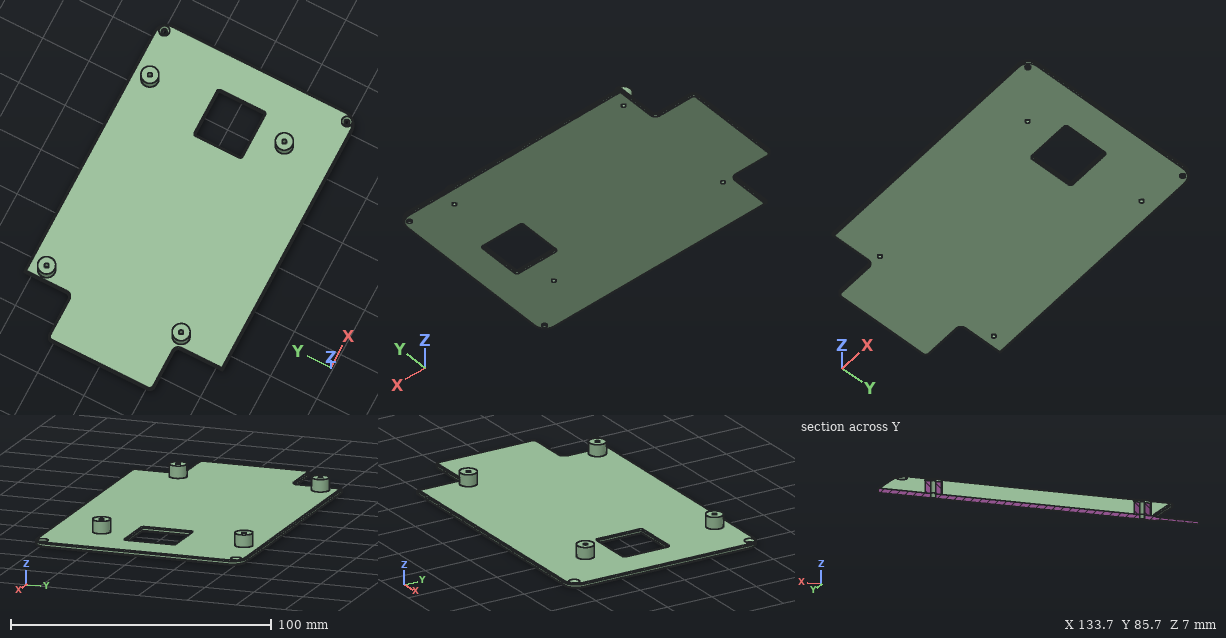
import cadquery as cq

length = 133.7
width = 85.7
plate_thickness = 2.0
edge_chamfer = 0.5
corner_radius = 5.6

tab_length = 20.0
tab_width = 45.5
tab_radius = 2.0

window_size = 19.9
window_radius = 0.5
window_x = 42.0

screw_diameter = 2.1
countersink_diameter = 4.1
countersink_angle = 90
screw_inset = 3.3

overall_height = 7.0
standoff_height = overall_height - plate_thickness
standoff_diameter = 7.0
standoff_bore = 1.7
standoff_spacing_x = 86.1
standoff_spacing_y = 58.2
standoff_center_x = 1.0
standoff_center_y = 6.5

left = -length / 2
right = length / 2
back = width / 2
shoulder_x = left + tab_length
standoff_points = [
    (
        standoff_center_x + side_x * standoff_spacing_x / 2,
        standoff_center_y + side_y * standoff_spacing_y / 2,
    )
    for side_x in (-1, 1)
    for side_y in (-1, 1)
]


def make_outline():
    """Main rectangle with the tab joined on, vertical corners rounded except the shoulder tips."""
    body = (
        cq.Workplane("XY")
        .box(length - tab_length, width, plate_thickness, centered=(False, True, False))
        .translate((shoulder_x, 0, 0))
        .edges("|Z and >X")
        .fillet(corner_radius)
    )
    tab = (
        cq.Workplane("XY")
        .box(tab_length, tab_width, plate_thickness, centered=(False, True, False))
        .translate((left, 0, 0))
    )
    inner_corners = cq.selectors.BoxSelector(
        (shoulder_x - tab_radius, -tab_width / 2 - tab_radius, -plate_thickness),
        (shoulder_x + tab_radius, tab_width / 2 + tab_radius, 2 * plate_thickness),
    )
    return (
        body.union(tab)
        .edges("|Z and <X")
        .fillet(tab_radius)
        .edges("|Z")
        .edges(inner_corners)
        .fillet(tab_radius)
    )


def make_window():
    """Square opening with rounded corners, running through the plate."""
    return (
        cq.Workplane("XY")
        .center(window_x, 0)
        .rect(window_size, window_size)
        .extrude(plate_thickness)
        .edges("|Z")
        .fillet(window_radius)
    )


def make_plate():
    """Chamfered plate with the window, the countersunk screw holes and the standoff bores."""
    screw_points = [(right - screw_inset, side * (back - screw_inset)) for side in (-1, 1)]
    return (
        make_outline()
        .cut(make_window())
        .faces("<Z or >Z")
        .edges()
        .chamfer(edge_chamfer)
        .faces(">Z")
        .workplane(origin=(0, 0, plate_thickness))
        .pushPoints(screw_points)
        .cskHole(screw_diameter, countersink_diameter, countersink_angle)
        .faces(">Z")
        .workplane(origin=(0, 0, plate_thickness))
        .pushPoints(standoff_points)
        .hole(standoff_bore)
    )


def make_standoff(x, y):
    """Bored cylinder standing on the plate."""
    return (
        cq.Workplane("XY", origin=(x, y, plate_thickness))
        .circle(standoff_diameter / 2)
        .circle(standoff_bore / 2)
        .extrude(standoff_height)
    )


plate = make_plate()
standoffs = [make_standoff(x, y) for x, y in standoff_points]

result = cq.Compound.makeCompound([plate.val(), *[standoff.val() for standoff in standoffs]])